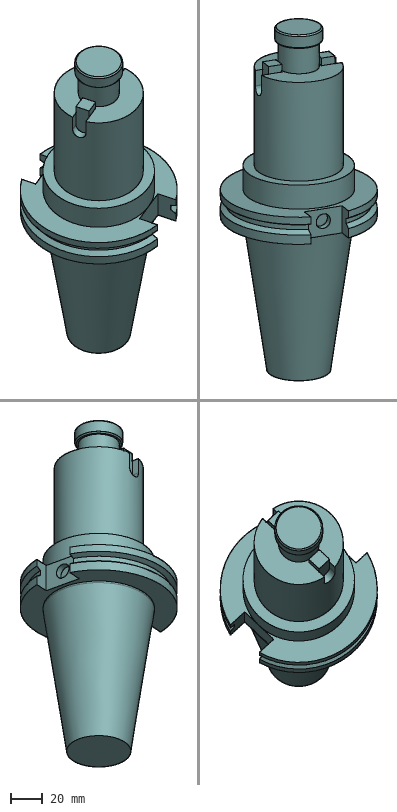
import cadquery as cq

total_height = 230.0
taper_top = 101.7
flange_bottom = 102.8
flange_top = 121.0
collar_top = 137.0
nose_top = 203.4
head_bottom = 220.8

small_end_diameter = 40.3
collar_diameter = 70.0
flange_diameter = 98.5
nose_diameter = 56.0

groove_diameter = 91.5
groove_floor_bottom = 111.3
groove_floor_top = 114.5
groove_mouth_bottom = 109.0
groove_mouth_top = 116.2

drive_slot_width = 25.8
shallow_slot_face = 37.7
deep_slot_face = collar_diameter / 2

hole_diameter = 9.7
hole_depth = 4.5
hole_height = 112.7

key_width = 9.2
key_inner = 13.5
key_outer = 22.8
key_top = 208.5
key_bottom = 188.5
key_angles = (0, 180)

shank_diameter = 25.8
head_diameter = 30.1
head_chamfer = 1.0


def cylinder(diameter, bottom, top):
    """Upright cylinder on the Z axis."""
    return cq.Workplane("XY", origin=(0, 0, bottom)).circle(diameter / 2).extrude(top - bottom)


def make_holder_blank():
    """Revolve the taper, grooved flange, collar and nose."""
    collar_radius = collar_diameter / 2
    flange_radius = flange_diameter / 2
    groove_radius = groove_diameter / 2
    nose_radius = nose_diameter / 2
    profile = [
        (0, 0),
        (small_end_diameter / 2, 0),
        (collar_radius, taper_top),
        (collar_radius, flange_bottom),
        (flange_radius, flange_bottom),
        (flange_radius, groove_mouth_bottom),
        (groove_radius, groove_floor_bottom),
        (groove_radius, groove_floor_top),
        (flange_radius, groove_mouth_top),
        (flange_radius, flange_top),
        (collar_radius, flange_top),
        (collar_radius, collar_top),
        (nose_radius, collar_top),
        (nose_radius, nose_top),
        (0, nose_top),
    ]
    return cq.Workplane("XZ").polyline(profile).close().revolve(360, (0, 0, 0), (0, 1, 0))


def drive_slot(side, face_distance):
    """Block that cuts a drive slot on the +X (side = 1) or -X (side = -1) edge of the flange."""
    block_length = flange_diameter / 2
    return (
        cq.Workplane("XY", origin=(side * (face_distance + block_length / 2), 0, flange_bottom))
        .rect(block_length, drive_slot_width)
        .extrude(flange_top - flange_bottom)
    )


def round_bottom_bar(inner, outer, top, angle):
    """Radial bar with a half-round underside, turned about Z from the -Y direction."""
    radius = key_width / 2
    arc_center_height = key_bottom + radius
    return (
        cq.Workplane("XZ", origin=(0, -inner, 0))
        .moveTo(-radius, top)
        .lineTo(-radius, arc_center_height)
        .threePointArc((0, key_bottom), (radius, arc_center_height))
        .lineTo(radius, top)
        .close()
        .extrude(outer - inner)
        .rotate((0, 0, 0), (0, 0, 1), angle)
    )


def make_holder():
    holder = make_holder_blank()
    holder = holder.cut(drive_slot(-1, shallow_slot_face))
    holder = holder.cut(drive_slot(1, deep_slot_face))
    hole = (
        cq.Workplane("YZ", origin=(-shallow_slot_face, 0, hole_height))
        .circle(hole_diameter / 2)
        .extrude(hole_depth)
    )
    holder = holder.cut(hole)
    for angle in key_angles:
        holder = holder.cut(round_bottom_bar(key_inner, nose_diameter / 2, nose_top, angle))
    return holder


def make_key(angle):
    return round_bottom_bar(key_inner, key_outer, key_top, angle)


def make_screw():
    """Screw standing on the nose, with both rims of its head chamfered."""
    shank = cylinder(shank_diameter, nose_top, head_bottom)
    head = cylinder(head_diameter, head_bottom, total_height).edges("%CIRCLE").chamfer(head_chamfer)
    return shank.union(head)


holder = make_holder()
screw = make_screw()
keys = [make_key(angle) for angle in key_angles]

result = cq.Compound.makeCompound([holder.val(), screw.val(), *[key.val() for key in keys]])